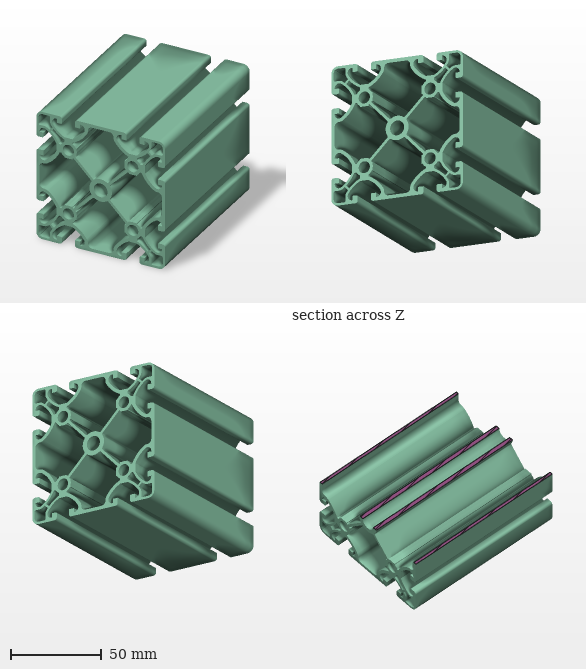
import cadquery as cq
import math

SIDE = 80.0
LENGTH = 100.0
HALF_SIDE = SIDE / 2
SLOT_X = SIDE / 4
CORNER_RADIUS = 4.0

OPENING_HALF = 4.0
LIP_WIDTH = 3.2
LIP_DEPTH = 4.5
LIP_ROUND = 1.5
LIP_FOOT_ROUND = 0.8
FLANGE = 2.0
SHOULDER_RADIUS = 2.6
FLOOR_DEPTH = 12.4
FLANK_RADIUS = 18.0
FLANK_ANGLE = math.radians(57)
CAVITY_HALF = 10.1
LIP_X = OPENING_HALF + LIP_WIDTH
SHOULDER_X = CAVITY_HALF - SHOULDER_RADIUS
SHOULDER_DEPTH = FLANGE + SHOULDER_RADIUS

INNER_WALL = 2.0
CORNER_WALL = 1.4
CHAMBER_FILLET = 2.5
CORNER_CHAMBER_FILLET = 0.8
BRACE_OUTER = 18.2
BRACE_INNER = 19.9
BRACE_SPAN = 3.7

BOSS_HOLE = 6.8
BOSS_RADIUS = 5.2
BOSS_CROSS_WIDTH = 5.0
BOSS_CROSS_INNER = 5.1
TUBE_HOLE = 8.5
TUBE_DIAMETER = 14.0
STRUT = 1.6
STRUT_FILLET = 0.8
POCKET_FILLET = 0.6

ARC_INSET = 1 - math.sqrt(0.5)


def section():
    return cq.Workplane("XZ")


def extrude(sketch):
    return sketch.extrude(LENGTH / 2, both=True)


def block(x0, x1, z0, z1):
    sketch = section().center((x0 + x1) / 2, (z0 + z1) / 2).rect(x1 - x0, z1 - z0)
    return extrude(sketch)


def rod(x, z, diameter):
    return extrude(section().center(x, z).circle(diameter / 2))


def diagonal_bar(start, end, thickness):
    """Bar across the section along x = z, between two distances from the part axis."""
    sketch = section().transformed(rotate=(0, 0, 45)).center((start + end) / 2, 0)
    return extrude(sketch.rect(end - start, thickness))


def swap_x_z(shape):
    """Reflect a section about x = z, carrying a top feature to the side face."""
    return shape.rotate((0, 0, 0), (1, 0, 1), 180)


def polar(centre, radius, angle):
    """Point on a circle; the angle turns from the outward offset towards greater depth."""
    return (centre[0] + radius * math.cos(angle), centre[1] + radius * math.sin(angle))


def flank_points(wall):
    """Points along the shoulder and flank arcs, moved outwards by a wall thickness.

    The bare flank ends on the slot floor and a wall ends on the side of the boss arm.
    """
    shoulder = (SHOULDER_X, SHOULDER_DEPTH)
    joint_angle = math.pi / 2 - FLANK_ANGLE
    flank = polar(shoulder, SHOULDER_RADIUS - FLANK_RADIUS, joint_angle)
    small = SHOULDER_RADIUS + wall
    large = FLANK_RADIUS + wall
    if wall > 0:
        end_angle = math.acos((BOSS_CROSS_WIDTH / 2 - flank[0]) / large)
    else:
        end_angle = math.asin((FLOOR_DEPTH - flank[1]) / large)
    return {
        "side": polar(shoulder, small, 0),
        "side_mid": polar(shoulder, small, joint_angle / 2),
        "top_mid": polar(shoulder, small, (joint_angle - math.pi / 2) / 2),
        "joint": polar(shoulder, small, joint_angle),
        "flank_mid": polar(flank, large, (joint_angle + end_angle) / 2),
        "end": polar(flank, large, end_angle),
    }


def to_section(direction):
    """Map (offset, depth) of the top slot to (x, z); direction is +1 towards the corner."""
    return lambda point: (SLOT_X + direction * point[0], HALF_SIDE - point[1])


def slot_half(direction, foot_round):
    """Half of the T-slot void, with the outer end of the lip rounded."""
    at = to_section(direction)
    p = flank_points(0)
    sketch = section().moveTo(*at((0, 0))).lineTo(*at((OPENING_HALF + LIP_ROUND, 0)))
    sketch = sketch.threePointArc(
        at((OPENING_HALF + ARC_INSET * LIP_ROUND, ARC_INSET * LIP_ROUND)),
        at((OPENING_HALF, LIP_ROUND)))
    if foot_round > 0:
        sketch = sketch.lineTo(*at((OPENING_HALF, LIP_DEPTH - foot_round)))
        sketch = sketch.threePointArc(
            at((OPENING_HALF + ARC_INSET * foot_round, LIP_DEPTH - ARC_INSET * foot_round)),
            at((OPENING_HALF + foot_round, LIP_DEPTH)))
    else:
        sketch = sketch.lineTo(*at((OPENING_HALF, LIP_DEPTH)))
    sketch = (
        sketch.lineTo(*at((LIP_X, LIP_DEPTH)))
        .lineTo(*at((LIP_X, FLANGE)))
        .lineTo(*at((SHOULDER_X, FLANGE)))
        .threePointArc(at(p["top_mid"]), at(p["joint"]))
        .threePointArc(at(p["flank_mid"]), at(p["end"]))
        .lineTo(*at((0, FLOOR_DEPTH)))
        .close()
    )
    return extrude(sketch)


def jacket_half(direction, wall, fillet):
    """Half of the solid around the slot, flared by a fillet into the flange."""
    at = to_section(direction)
    p = flank_points(wall)
    side = p["side"][0]
    bevel = fillet * ARC_INSET
    sketch = (
        section().moveTo(*at((0, FLANGE)))
        .lineTo(*at((side + fillet, FLANGE)))
        .threePointArc(at((side + bevel, FLANGE + bevel)), at((side, FLANGE + fillet)))
        .lineTo(*at(p["side"]))
        .threePointArc(at(p["side_mid"]), at(p["joint"]))
        .threePointArc(at(p["flank_mid"]), at(p["end"]))
        .lineTo(*at((0, p["end"][1])))
        .close()
    )
    return extrude(sketch)


def frame():
    inner = HALF_SIDE - FLANGE
    outer = block(-HALF_SIDE, HALF_SIDE, -HALF_SIDE, HALF_SIDE).edges("|Y").fillet(CORNER_RADIUS)
    return outer.cut(block(-inner, inner, -inner, inner))


def corner_chamber():
    low = HALF_SIDE - (SLOT_X - CAVITY_HALF - CORNER_WALL)
    high = HALF_SIDE - CORNER_WALL
    chamber = block(low, high, low, high)
    chamber = chamber.edges(">X and >Z").fillet(CORNER_RADIUS - CORNER_WALL)
    return chamber.edges("(<X and >Z) or (>X and <Z)").fillet(CORNER_CHAMBER_FILLET)


def corner_brace():
    """Short web across the corner diagonal, joining the two slot walls."""
    corner = HALF_SIDE * math.sqrt(2)
    return diagonal_bar(
        corner - BRACE_INNER / math.sqrt(2), corner - BRACE_OUTER / math.sqrt(2), BRACE_SPAN)


def boss():
    arm = block(
        SLOT_X - BOSS_CROSS_WIDTH / 2, SLOT_X + BOSS_CROSS_WIDTH / 2,
        SLOT_X - BOSS_CROSS_INNER, HALF_SIDE - FLOOR_DEPTH)
    return rod(SLOT_X, SLOT_X, 2 * BOSS_RADIUS).union(arm).union(swap_x_z(arm))


def corner_solid():
    jacket = jacket_half(1, CORNER_WALL, CORNER_CHAMBER_FILLET)
    jacket = jacket.union(jacket_half(-1, INNER_WALL, CHAMBER_FILLET))
    return jacket.union(swap_x_z(jacket)).union(corner_brace()).union(boss())


def corner_void():
    slot = slot_half(1, LIP_FOOT_ROUND).union(slot_half(-1, 0))
    void = slot.union(swap_x_z(slot)).union(corner_chamber())
    return void.union(rod(SLOT_X, SLOT_X, BOSS_HOLE))


def four_corners(shape):
    pair = shape.union(shape.mirror("YZ"))
    return pair.union(pair.mirror("XY"))


def struts():
    """Two crossed struts, each running between opposite screw bosses."""
    reach = SLOT_X * math.sqrt(2)
    strut = diagonal_bar(-reach, reach, STRUT)
    return strut.union(strut.mirror("YZ"))


def fillet_near(body, x, z, reach, radius):
    """Fillet the lengthwise edges within a square of the section centred on (x, z)."""
    region = cq.selectors.BoxSelector(
        (x - reach, -LENGTH, z - reach), (x + reach, LENGTH, z + reach))
    return body.edges("|Y").edges(region).fillet(radius)


tube = rod(0, 0, TUBE_DIAMETER)
profile = frame().union(four_corners(corner_solid())).union(struts()).union(tube)
profile = profile.cut(four_corners(corner_void()))

profile = fillet_near(profile, 0, 0, TUBE_DIAMETER / 2, STRUT_FILLET)

pocket_low = SLOT_X + BOSS_CROSS_WIDTH / 2 - CORNER_WALL / 2
pocket_high = HALF_SIDE - FLOOR_DEPTH - CORNER_WALL / 2
pocket_centre = (pocket_low + pocket_high) / 2
pocket_reach = (pocket_high - pocket_low) / 2
for x_side in (-1, 1):
    for z_side in (-1, 1):
        profile = fillet_near(
            profile, x_side * pocket_centre, z_side * pocket_centre, pocket_reach, POCKET_FILLET)

result = profile.cut(rod(0, 0, TUBE_HOLE))